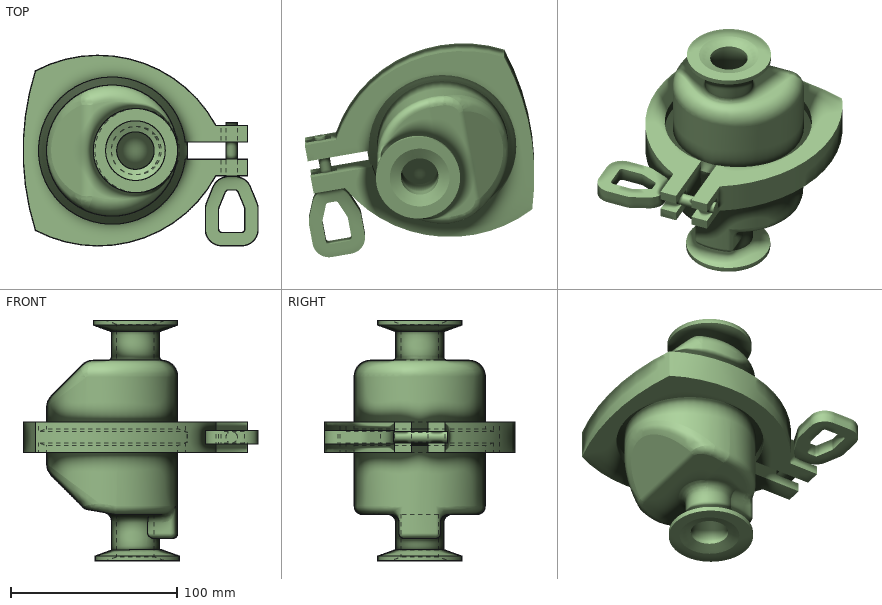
import cadquery as cq
import math

BODY_RADIUS = 39.51
BODY_TOP_Z = 46.4
BODY_BOTTOM_Z = -46.5
UPPER_FLAT_TOP_X = -15.2
LOWER_FLAT_START_Z = -20.2
FLOOR_BREAK_X = 2.0
FLOOR_SLOPE = 10.0
UPPER_FILLET = 10.0
LOWER_FILLET = 5.0
FLOOR_ALLOWANCE = 11.6

FLANGE_RADIUS = 45.5
FLANGE_RIM_HALF = 2.9
CONE_ANGLE = 20.0

NOZZLE_X = 14.0
NOZZLE_RADIUS = 14.5
TOP_NOZZLE_Z = 70.5
BOTTOM_NOZZLE_Z = -74.5
FERRULE_RADIUS = 25.4
FERRULE_RIM = 2.9
BOTTOM_FERRULE_X = 15.1
BORE_RADIUS = 11.3
FUNNEL_RADIUS = 18.0
FUNNEL_DEPTH = 2.5
TOP_NOZZLE_FILLET = 2.0
BOTTOM_NOZZLE_FILLET = 5.0

BOSS_HALF_WIDTH = 12.5
BOSS_BOTTOM_Z = -61.0
BOSS_FILLET = 3.0

CLAMP_HEIGHT = 18.5
CLAMP_HALF_WIDTH = 57.49
CLAMP_OPENING_RADIUS = 44.4
CLAMP_ARC_RADIUS = 80.6
CLAMP_ARC_X = -8.4
CLAMP_CORNER_X = -46.3
CLAMP_BACK_X = -53.6
EAR_END_X = 81.6
EAR_OUTER_Y = 15.2
SLOT_HALF_WIDTH = 5.1
FORK_START_X = 65.5

PIN_RADIUS = 3.5
PIN_X = 72.0
PIN_END_Y = 16.8
NUT_TOP_Y = -15.7
NUT_BOTTOM_Y = -57.4
NUT_HALF_WIDTH = 16.0
NUT_WALL = 8.1
NUT_SHOULDER_Y = -34.8
NUT_OPENING_TOP_HALF = 3.3
NUT_OPENING_FILLET = 1.9
NUT_THICKNESS = 8.3

SELECTION_SLACK = 0.1
CONE_SLOPE = math.tan(math.radians(CONE_ANGLE))


def prism_across(points, half_width):
    """Extrude an outline drawn in XZ by the same amount to both sides of Y = 0."""
    return cq.Workplane("XZ").polyline(points).close().extrude(half_width, both=True)


def edges_between(shape, low_corner, high_corner):
    """Edges that lie wholly inside the box between two corners, with a little slack."""
    low = tuple(value - SELECTION_SLACK for value in low_corner)
    high = tuple(value + SELECTION_SLACK for value in high_corner)
    return shape.edges(cq.selectors.BoxSelector(low, high, boundingbox=True))


def make_body():
    """Round shell with two filleted 45 degree flats and a floor that tips up towards -X."""
    blank_bottom_z = BODY_BOTTOM_Z - FLOOR_ALLOWANCE
    lower_run = LOWER_FLAT_START_Z - blank_bottom_z
    side = prism_across(
        [
            (BODY_RADIUS, blank_bottom_z),
            (BODY_RADIUS, BODY_TOP_Z),
            (UPPER_FLAT_TOP_X, BODY_TOP_Z),
            (-BODY_RADIUS, BODY_TOP_Z - (UPPER_FLAT_TOP_X + BODY_RADIUS)),
            (-BODY_RADIUS, LOWER_FLAT_START_Z),
            (-BODY_RADIUS + lower_run, blank_bottom_z),
        ],
        BODY_RADIUS,
    )
    body = (
        cq.Workplane("XY", origin=(0, 0, blank_bottom_z))
        .circle(BODY_RADIUS)
        .extrude(BODY_TOP_Z - blank_bottom_z)
        .intersect(side)
    )
    top_edges = body.faces(">Z").edges()
    flat_rims = body.edges("%ELLIPSE")
    body = top_edges.add(flat_rims).fillet(UPPER_FILLET)

    floor_x = 2 * BODY_RADIUS
    floor_rise = (floor_x + FLOOR_BREAK_X) * math.tan(math.radians(FLOOR_SLOPE))
    below_floor = prism_across(
        [
            (floor_x, BODY_BOTTOM_Z),
            (FLOOR_BREAK_X, BODY_BOTTOM_Z),
            (-floor_x, BODY_BOTTOM_Z + floor_rise),
            (-floor_x, BOTTOM_NOZZLE_Z),
            (floor_x, BOTTOM_NOZZLE_Z),
        ],
        floor_x,
    )
    body = body.cut(below_floor)
    floor_edges = edges_between(
        body,
        (-BODY_RADIUS, -BODY_RADIUS, BODY_BOTTOM_Z),
        (BODY_RADIUS, BODY_RADIUS, BODY_BOTTOM_Z + LOWER_FILLET),
    )
    return floor_edges.fillet(LOWER_FILLET)


def make_flange():
    """Disc with conical upper and lower faces, reaching in to the shell's axis."""
    root_half = FLANGE_RIM_HALF + (FLANGE_RADIUS - BODY_RADIUS) * CONE_SLOPE
    return (
        cq.Workplane("XZ")
        .polyline([
            (0, -root_half),
            (BODY_RADIUS, -root_half),
            (FLANGE_RADIUS, -FLANGE_RIM_HALF),
            (FLANGE_RADIUS, FLANGE_RIM_HALF),
            (BODY_RADIUS, root_half),
            (0, root_half),
        ])
        .close()
        .revolve(360, (0, 0), (0, 1))
    )


def make_tube(end_z):
    """Plain nozzle tube from the middle of the shell to the given end."""
    return cq.Workplane("XY").center(NOZZLE_X, 0).circle(NOZZLE_RADIUS).extrude(end_z)


def make_ferrule(center_x, end_z):
    """Ferrule disc with a conical back, its flat face at end_z."""
    inward = -math.copysign(1, end_z)
    cone_height = (FERRULE_RADIUS - NOZZLE_RADIUS) * CONE_SLOPE
    rim_z = end_z + inward * FERRULE_RIM
    neck_z = rim_z + inward * cone_height
    return (
        cq.Workplane("XZ")
        .polyline([
            (0, end_z),
            (FERRULE_RADIUS, end_z),
            (FERRULE_RADIUS, rim_z),
            (NOZZLE_RADIUS, neck_z),
            (0, neck_z),
        ])
        .close()
        .revolve(360, (0, 0), (0, 1))
        .translate((center_x, 0, 0))
    )


def make_bore(end_z, floor_z):
    """Blind nozzle bore with a funnel mouth."""
    funnel_z = end_z - math.copysign(FUNNEL_DEPTH, end_z)
    return (
        cq.Workplane("XZ")
        .polyline([
            (0, end_z),
            (FUNNEL_RADIUS, end_z),
            (BORE_RADIUS, funnel_z),
            (BORE_RADIUS, floor_z),
            (0, floor_z),
        ])
        .close()
        .revolve(360, (0, 0), (0, 1))
        .translate((NOZZLE_X, 0, 0))
    )


def make_boss():
    """Block below the floor, starting inside the nozzle and ending on the shell's radius."""
    corner_x = math.sqrt(BODY_RADIUS**2 - BOSS_HALF_WIDTH**2)
    boss = (
        cq.Workplane("XY", origin=(0, 0, BOSS_BOTTOM_Z))
        .moveTo(NOZZLE_X, -BOSS_HALF_WIDTH)
        .lineTo(corner_x, -BOSS_HALF_WIDTH)
        .threePointArc((BODY_RADIUS, 0), (corner_x, BOSS_HALF_WIDTH))
        .lineTo(NOZZLE_X, BOSS_HALF_WIDTH)
        .close()
        .extrude(-BOSS_BOTTOM_Z)
    )
    boss = boss.edges("|Z").edges(">X").fillet(BOSS_FILLET)
    return boss.faces("<Z").edges("not <X").fillet(BOSS_FILLET)


def side_arc_y(x):
    """Y of the clamp's +Y side arc at the given X."""
    arc_center_y = CLAMP_HALF_WIDTH - CLAMP_ARC_RADIUS
    return arc_center_y + math.sqrt(CLAMP_ARC_RADIUS**2 - (x - CLAMP_ARC_X) ** 2)


def make_clamp_ring():
    """Clamp ring with two ears, each split by a horizontal slot for the pin."""
    arc_center_y = CLAMP_HALF_WIDTH - CLAMP_ARC_RADIUS
    ear_x = CLAMP_ARC_X + math.sqrt(CLAMP_ARC_RADIUS**2 - (EAR_OUTER_Y - arc_center_y) ** 2)
    corner_y = side_arc_y(CLAMP_CORNER_X)
    ring = (
        cq.Workplane("XY", origin=(0, 0, -CLAMP_HEIGHT / 2))
        .moveTo(EAR_END_X, -EAR_OUTER_Y)
        .lineTo(EAR_END_X, EAR_OUTER_Y)
        .lineTo(ear_x, EAR_OUTER_Y)
        .threePointArc((CLAMP_ARC_X, CLAMP_HALF_WIDTH), (CLAMP_CORNER_X, corner_y))
        .threePointArc((CLAMP_BACK_X, 0), (CLAMP_CORNER_X, -corner_y))
        .threePointArc((CLAMP_ARC_X, -CLAMP_HALF_WIDTH), (ear_x, -EAR_OUTER_Y))
        .close()
        .extrude(CLAMP_HEIGHT)
    )
    opening = cq.Workplane("XY").circle(CLAMP_OPENING_RADIUS).extrude(CLAMP_HEIGHT, both=True)
    slot = (
        cq.Workplane("XY")
        .center(EAR_END_X / 2, 0)
        .rect(EAR_END_X, 2 * SLOT_HALF_WIDTH)
        .extrude(CLAMP_HEIGHT, both=True)
    )
    fork = prism_across(
        [
            (FORK_START_X, -PIN_RADIUS),
            (EAR_END_X, -PIN_RADIUS),
            (EAR_END_X, PIN_RADIUS),
            (FORK_START_X, PIN_RADIUS),
        ],
        EAR_OUTER_Y,
    )
    return ring.cut(opening).cut(slot).cut(fork)


def make_housing():
    """Shell, nozzles, boss, flange and clamp ring as one solid."""
    nozzle_left_x = NOZZLE_X - NOZZLE_RADIUS
    nozzle_right_x = NOZZLE_X + NOZZLE_RADIUS

    housing = make_body().union(make_tube(TOP_NOZZLE_Z))
    top_root = edges_between(
        housing,
        (nozzle_left_x, -NOZZLE_RADIUS, BODY_TOP_Z),
        (nozzle_right_x, NOZZLE_RADIUS, BODY_TOP_Z),
    )
    housing = top_root.fillet(TOP_NOZZLE_FILLET)

    housing = housing.union(make_tube(BOTTOM_NOZZLE_Z)).union(make_boss())
    bottom_root = edges_between(
        housing,
        (nozzle_left_x, -NOZZLE_RADIUS, BODY_BOTTOM_Z),
        (BODY_RADIUS - BOSS_FILLET, NOZZLE_RADIUS, BODY_BOTTOM_Z + LOWER_FILLET),
    )
    housing = bottom_root.fillet(BOTTOM_NOZZLE_FILLET)

    housing = (
        housing
        .union(make_flange())
        .union(make_clamp_ring())
        .union(make_ferrule(NOZZLE_X, TOP_NOZZLE_Z))
        .union(make_ferrule(BOTTOM_FERRULE_X, BOTTOM_NOZZLE_Z))
    )
    top_bore = make_bore(TOP_NOZZLE_Z, BODY_TOP_Z)
    bottom_bore = make_bore(BOTTOM_NOZZLE_Z, BODY_BOTTOM_Z)
    return housing.cut(top_bore).cut(bottom_bore)


def make_wing_nut():
    """Closed loop handle: an opening with a constant wall offset around it."""
    opening_half = NUT_HALF_WIDTH - NUT_WALL
    opening_top_y = NUT_TOP_Y - NUT_WALL
    opening_bottom_y = NUT_BOTTOM_Y + NUT_WALL
    opening = (
        cq.Workplane("XY", origin=(PIN_X, 0, -NUT_THICKNESS / 2))
        .polyline([
            (-opening_half, opening_bottom_y),
            (opening_half, opening_bottom_y),
            (opening_half, NUT_SHOULDER_Y),
            (NUT_OPENING_TOP_HALF, opening_top_y),
            (-NUT_OPENING_TOP_HALF, opening_top_y),
            (-opening_half, NUT_SHOULDER_Y),
        ])
        .close()
        .extrude(NUT_THICKNESS)
        .edges("|Z")
        .fillet(NUT_OPENING_FILLET)
    )
    outline = opening.faces("<Z").wires().toPending().offset2D(NUT_WALL)
    return outline.extrude(NUT_THICKNESS).cut(opening)


def make_pin():
    """Round pin through both ears, ending inside the wing nut's wall."""
    pin_start_y = NUT_TOP_Y - NUT_WALL / 2
    return (
        cq.Workplane("XZ", origin=(PIN_X, pin_start_y, 0))
        .circle(PIN_RADIUS)
        .extrude(-(PIN_END_Y - pin_start_y))
    )


def make_pin_handle():
    """Pin and wing nut as one solid."""
    return make_pin().union(make_wing_nut())


housing = make_housing()
pin_handle = make_pin_handle()

result = cq.Compound.makeCompound([housing.solids().val(), pin_handle.solids().val()])